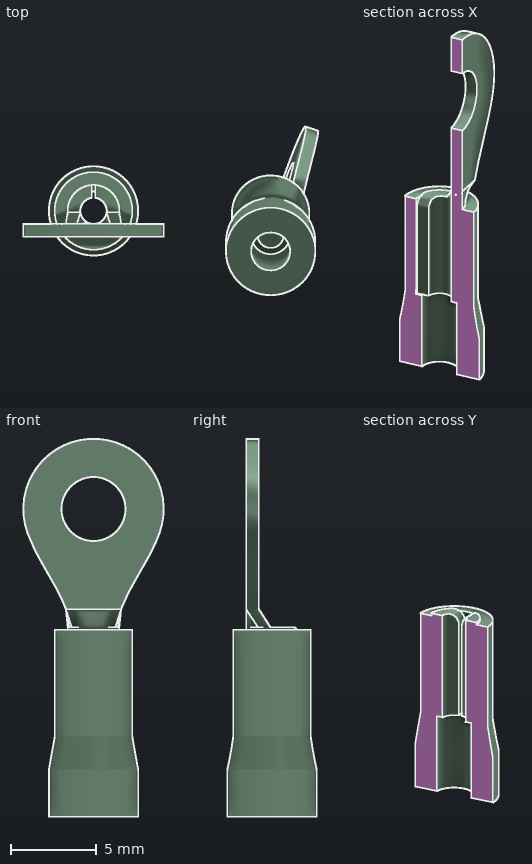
import cadquery as cq
import math


sheet = 0.75
total_height = 22.0

sleeve_diameter = 4.52
entry_diameter = 5.21
entry_height = 2.75
taper_top = 4.67
sleeve_height = 10.9
wire_bore_diameter = 2.26

barrel_radius = 1.51
barrel_bore_radius = barrel_radius - sheet
barrel_bottom = taper_top
barrel_top = 11.04
seam_width = 0.2
seam_corner_radius_axis = 0.69
seam_corner_radius_outer = 0.81

tongue_front = -barrel_radius
tongue_back = tongue_front + sheet
tongue_bottom = 12.09
ring_diameter = 8.18
ring_radius = ring_diameter / 2
ring_center_z = total_height - ring_radius
stud_hole_diameter = 3.71
ring_arc_end_z = 16.53
neck_half_width = 1.61
neck_edge_slope = 0.38

neck_land_y = -0.09
neck_corner_y = -0.82
neck_inner_half_width = 0.97


def circle_half_width(radius, offset):
    """Half chord of a circle at a given distance from its center."""
    return math.sqrt(radius**2 - offset**2)


def make_sleeve():
    """Round sleeve, wider at the wire entry, with a seat filled by the barrel."""
    profile = [
        (0, 0),
        (entry_diameter / 2, 0),
        (entry_diameter / 2, entry_height),
        (sleeve_diameter / 2, taper_top),
        (sleeve_diameter / 2, sleeve_height),
        (0, sleeve_height),
    ]
    sleeve = cq.Workplane("XZ").polyline(profile).close().revolve(360, (0, 0), (0, 1))
    wire_bore = cq.Workplane("XY").circle(wire_bore_diameter / 2).extrude(barrel_bottom)
    barrel_seat = (
        cq.Workplane("XY", origin=(0, 0, barrel_bottom))
        .circle(barrel_radius)
        .extrude(sleeve_height - barrel_bottom)
    )
    return sleeve.cut(wire_bore).cut(barrel_seat)


def seam_profile(workplane, corner_radius):
    """Add the seam gap to a workplane, opening to a rounded mouth at the barrel's top."""
    half_seam = seam_width / 2
    half_mouth = half_seam + corner_radius
    corner_z = barrel_top - corner_radius
    arc_reach = corner_radius * math.sqrt(0.5)
    return (
        workplane
        .moveTo(-half_seam, barrel_bottom)
        .lineTo(half_seam, barrel_bottom)
        .lineTo(half_seam, corner_z)
        .threePointArc((half_mouth - arc_reach, corner_z + arc_reach), (half_mouth, barrel_top))
        .lineTo(-half_mouth, barrel_top)
        .threePointArc((arc_reach - half_mouth, corner_z + arc_reach), (-half_seam, corner_z))
        .close()
    )


def make_barrel():
    """Rolled tube with an open seam on +Y whose top corners are rounded, wider outside."""
    barrel = (
        cq.Workplane("XY", origin=(0, 0, barrel_bottom))
        .circle(barrel_radius)
        .circle(barrel_bore_radius)
        .extrude(barrel_top - barrel_bottom)
    )
    axis_profile = seam_profile(cq.Workplane("XZ"), seam_corner_radius_axis)
    outer_plane = axis_profile.workplane(offset=-barrel_radius)
    seam = seam_profile(outer_plane, seam_corner_radius_outer).loft(ruled=True, combine=True)
    return barrel.cut(seam)


def make_neck():
    """Ruled blend from the open lower half of the barrel to the flat tongue."""
    inner_x = circle_half_width(barrel_bore_radius, neck_land_y)
    outer_x = circle_half_width(barrel_radius, neck_land_y)
    corner_x = circle_half_width(barrel_radius, neck_corner_y)
    side_y = (neck_land_y + neck_corner_y) / 2
    side_x = circle_half_width(barrel_radius, side_y)
    return (
        cq.Workplane("XY", origin=(0, 0, barrel_top))
        .moveTo(inner_x, neck_land_y)
        .lineTo(outer_x, neck_land_y)
        .threePointArc((side_x, side_y), (corner_x, neck_corner_y))
        .threePointArc((0, -barrel_radius), (-corner_x, neck_corner_y))
        .threePointArc((-side_x, side_y), (-outer_x, neck_land_y))
        .lineTo(-inner_x, neck_land_y)
        .threePointArc((0, -barrel_bore_radius), (inner_x, neck_land_y))
        .close()
        .workplane(offset=tongue_bottom - barrel_top)
        .moveTo(neck_inner_half_width, tongue_back)
        .lineTo(neck_half_width, tongue_back)
        .lineTo(neck_half_width, tongue_front)
        .lineTo(-neck_half_width, tongue_front)
        .lineTo(-neck_half_width, tongue_back)
        .lineTo(-neck_inner_half_width, tongue_back)
        .close()
        .loft(ruled=True, combine=True)
    )


def make_tongue():
    """Flat ring with flanks that leave the circle tangentially and narrow to the neck."""
    arc_drop = ring_center_z - ring_arc_end_z
    arc_x = circle_half_width(ring_radius, arc_drop)
    return (
        cq.Workplane("XZ", origin=(0, tongue_back, 0))
        .moveTo(-neck_half_width, tongue_bottom)
        .lineTo(neck_half_width, tongue_bottom)
        .spline(
            [(arc_x, ring_arc_end_z)],
            tangents=[(neck_edge_slope, 1), (arc_drop, arc_x)],
            includeCurrent=True,
        )
        .threePointArc((0, total_height), (-arc_x, ring_arc_end_z))
        .spline(
            [(-neck_half_width, tongue_bottom)],
            tangents=[(arc_drop, -arc_x), (neck_edge_slope, -1)],
            includeCurrent=True,
        )
        .close()
        .extrude(sheet)
        .faces("<Y")
        .workplane(origin=(0, 0, ring_center_z))
        .hole(stud_hole_diameter)
    )


result = make_sleeve().union(make_barrel()).union(make_neck()).union(make_tongue())